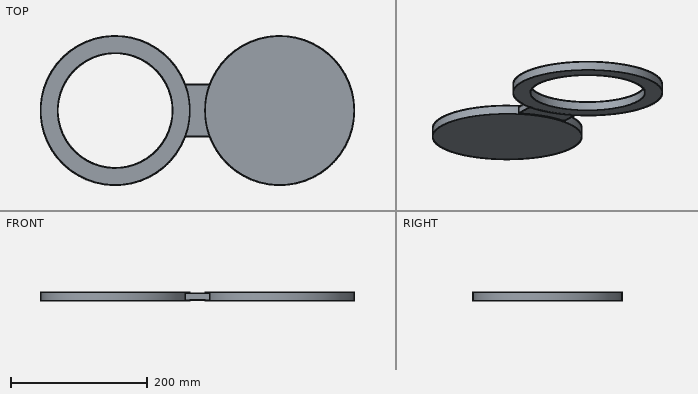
import cadquery as cq

overall_length = 460.2
disc_diameter = 219.0
disc_thickness = 13.0
ring_bore_diameter = 168.0

link_width = 76.5
link_thickness = 10.0

disc_offset = (overall_length - disc_diameter) / 2


def round_plate(center_x, diameter, thickness):
    """Round plate centred on the plane Z = 0."""
    return cq.Workplane("XY").center(center_x, 0).circle(diameter / 2).extrude(thickness / 2, both=True)


ring_blank = round_plate(-disc_offset, disc_diameter, disc_thickness)
ring_bore = round_plate(-disc_offset, ring_bore_diameter, disc_thickness)
solid_disc = round_plate(disc_offset, disc_diameter, disc_thickness)

link = cq.Workplane("XY").box(2 * disc_offset, link_width, link_thickness)

result = ring_blank.union(solid_disc).union(link).cut(ring_bore)